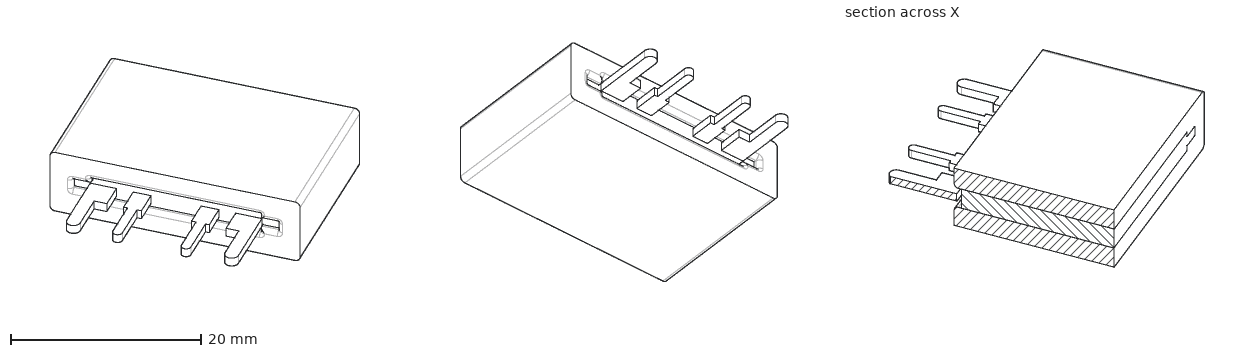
import cadquery as cq

housing_width = 28.0
housing_length = 18.42
housing_height = 7.5
housing_edge_radius = 0.6

opening_width = 23.02
wing_height = 1.2
middle_width = 19.0
middle_height = 2.4
opening_corner_radius = 0.05
mouth_radius = 0.53
core_recess = 0.8

pin_thickness = 1.0
pin_reach = 7.67
head_reach = 2.63
pin_start = 0.35

outer_head_near = 6.65
outer_head_far = 9.6
outer_shank_width = 1.5

inner_head_near = 2.8
inner_head_far = 4.8
inner_shank_width = 1.05
inner_shank_offset = 3.85


def front_box(width, height, start, end):
    """A block centred on x and z that reaches from y = start to y = end."""
    return cq.Workplane("XY").box(width, end - start, height).translate((0, (start + end) / 2, 0))


def opening_prism(start, end):
    """The stepped opening's cross-section, carried from y = start to y = end."""
    middle = front_box(middle_width, middle_height, start, end).edges("|Y").fillet(opening_corner_radius)
    wings = front_box(opening_width, wing_height, start, end).edges("|Y").fillet(opening_corner_radius)
    return middle.union(wings)


def make_housing():
    block = front_box(housing_width, housing_height, 0, housing_length)
    block = block.edges("|Y").fillet(housing_edge_radius)
    block = block.cut(opening_prism(0, housing_length))
    mouth = cq.selectors.BoxSelector(
        (-opening_width / 2 - mouth_radius, -mouth_radius, -middle_height / 2 - mouth_radius),
        (opening_width / 2 + mouth_radius, mouth_radius, middle_height / 2 + mouth_radius),
    )
    return block.faces("<Y").edges(mouth).fillet(mouth_radius)


def make_pin(side, head_near, head_far, shank_near, shank_far):
    """A flat pin on the side x > 0 (side = 1) or x < 0 (side = -1)."""
    tip_radius = (shank_far - shank_near) / 2
    tip_start = tip_radius - pin_reach
    outline = (
        cq.Workplane("XY", origin=(0, 0, -pin_thickness / 2))
        .moveTo(side * head_near, pin_start)
        .lineTo(side * head_near, -head_reach)
        .lineTo(side * shank_near, -head_reach)
        .lineTo(side * shank_near, tip_start)
        .threePointArc((side * (shank_near + tip_radius), -pin_reach), (side * shank_far, tip_start))
        .lineTo(side * shank_far, -head_reach)
    )
    if shank_far < head_far:
        outline = outline.lineTo(side * head_far, -head_reach)
    return outline.lineTo(side * head_far, pin_start).close().extrude(pin_thickness)


def make_outer_pin(side):
    """The shank lies along the head's far side."""
    shank_near = outer_head_far - outer_shank_width
    return make_pin(side, outer_head_near, outer_head_far, shank_near, outer_head_far)


def make_inner_pin(side):
    """The shank leaves a shoulder on both sides of the head."""
    shank_near = inner_shank_offset - inner_shank_width / 2
    shank_far = inner_shank_offset + inner_shank_width / 2
    return make_pin(side, inner_head_near, inner_head_far, shank_near, shank_far)


def make_core():
    """The insert that fills the opening behind the recess, flush with the housing's back face."""
    return opening_prism(core_recess, housing_length)


pins = []
for side in (-1, 1):
    pins.append(make_outer_pin(side))
    pins.append(make_inner_pin(side))

housing = make_housing()
core = make_core()

result = cq.Compound.makeCompound([housing.val(), core.val(), *[pin.val() for pin in pins]])